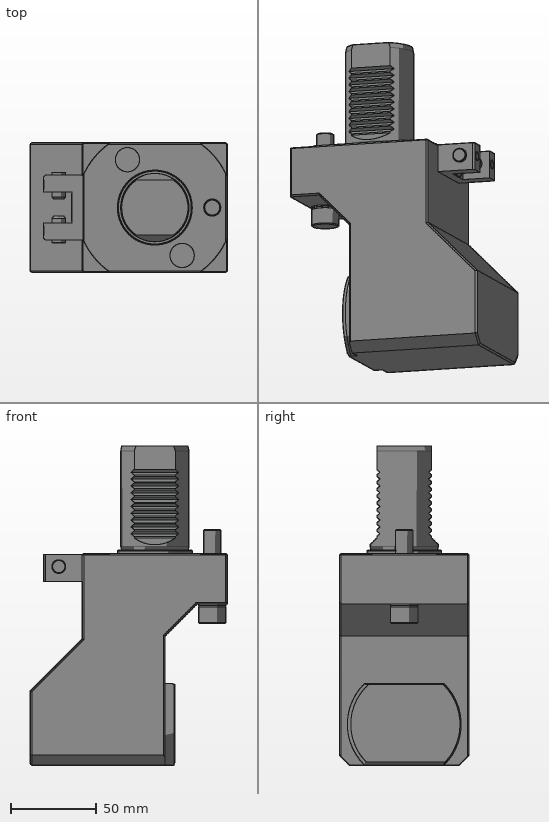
import cadquery as cq


BLOCK_HALF_WIDTH = 38.0
FLANGE_HALF_LENGTH = 42.5
FLANGE_THICKNESS = 29.6
FOOT_LEFT_X = -73.0
FOOT_RIGHT_X = 6.0
BLOCK_HEIGHT = 124.0
LEFT_SLOPE_TOP_Z = -50.0
RIGHT_SLOPE_RUN = 18.8
FOOT_CORNER_CHAMFER = 6.0
EDGE_CHAMFER = 1.0

SEAT_DIAMETER = 92.0
SEAT_STEP = 0.5
PLUG_DIAMETER = 14.2
PLUG_DEPTH = 0.2
PLUG_X = -16.0
PLUG_Y = 28.0

SHANK_DIAMETER = 40.0
SHANK_LENGTH = 63.0
SHANK_ROOT = 1.0
SHANK_TIP_DIAMETER = 38.8
SHANK_TIP_LENGTH = 3.0
COLLAR_DIAMETER = 43.86
COLLAR_HEIGHT = 2.0
COLLAR_CHAMFER = 0.6
NECK_DIAMETER = 39.0
NECK_TOP_Z = 4.0

FLAT_OFFSET = 16.0
TOOTH_COUNT = 10
TOOTH_PITCH = 4.0
TOOTH_DEPTH = 1.6
LOWEST_TOOTH_Z = 11.5
RUNOUT_TOP_Z = 9.1

SCREW_X = 33.6
SCREW_DIAMETER = 9.99
SCREW_TOP_Z = 14.0
SCREW_HEAD_DIAMETER = 15.98
SCREW_HEAD_BOTTOM_Z = -41.0
SCREW_CHAMFER = 0.6
SCREW_HEAD_GROOVE_TOP_Z = -30.4
SCREW_HEAD_GROOVE_WIDTH = 0.9
SCREW_HEAD_GROOVE_DEPTH = 0.2

BRACKET_REACH_X = -65.0
BRACKET_TOP_Z = -0.5
BRACKET_HEIGHT = 16.0
BRACKET_HALF_WIDTH = 19.0
FORK_SLOT_HALF_WIDTH = 9.0
FORK_SLOT_END_X = -48.4
FORK_BOSS_DIAMETER = 15.98
FORK_BOSS_HEIGHT = 0.4
FORK_TIP_CHAMFER = 1.0
SET_SCREW_X = -56.2
SET_SCREW_Z = -7.7
SET_SCREW_DIAMETER = 7.99
SET_SCREW_INNER_Y = 5.0
SET_SCREW_OUTER_Y = 20.6
SET_SCREW_INNER_CHAMFER_AXIAL = 1.3
SET_SCREW_INNER_END_DIAMETER = 5.99
SET_SCREW_OUTER_CHAMFER_AXIAL = 0.2
SET_SCREW_OUTER_END_DIAMETER = 7.19
LOCK_HOLE_DIAMETER = 5.18
LOCK_HOLE_DEPTH = 0.2
LOCK_HOLE_Y = 13.5

COVER_DIAMETER = 66.6
COVER_HEIGHT = 48.0
COVER_THICKNESS = 5.8
COVER_CHAMFER_RADIAL = 2.0
COVER_CHAMFER_AXIAL = 0.7


def make_block():
    left_slope_bottom_z = LEFT_SLOPE_TOP_Z + FOOT_LEFT_X + FLANGE_HALF_LENGTH
    block = (
        cq.Workplane("XZ")
        .moveTo(-FLANGE_HALF_LENGTH, 0)
        .lineTo(FLANGE_HALF_LENGTH, 0)
        .lineTo(FLANGE_HALF_LENGTH, -FLANGE_THICKNESS)
        .lineTo(FOOT_RIGHT_X + RIGHT_SLOPE_RUN, -FLANGE_THICKNESS)
        .lineTo(FOOT_RIGHT_X, -FLANGE_THICKNESS - RIGHT_SLOPE_RUN)
        .lineTo(FOOT_RIGHT_X, -BLOCK_HEIGHT)
        .lineTo(FOOT_LEFT_X, -BLOCK_HEIGHT)
        .lineTo(FOOT_LEFT_X, left_slope_bottom_z)
        .lineTo(-FLANGE_HALF_LENGTH, LEFT_SLOPE_TOP_Z)
        .close()
        .extrude(BLOCK_HALF_WIDTH, both=True)
    )
    block = block.faces("<Z").edges("|X").chamfer(FOOT_CORNER_CHAMFER)
    outer_edges = block.faces("<Y or >Y or <X or >Z").edges()
    return outer_edges.filter(lambda edge: not is_sharp_edge(edge)).chamfer(EDGE_CHAMFER)


def is_sharp_edge(edge):
    """True along the foot corner chamfers and across the bottom of the left slope."""
    center = edge.Center()
    along_x = edge.BoundingBox().xlen > 2 * FOOT_CORNER_CHAMFER
    along_y = edge.BoundingBox().ylen > BLOCK_HALF_WIDTH
    on_foot_corner = along_x and center.z < 2 * FOOT_CORNER_CHAMFER - BLOCK_HEIGHT
    at_slope_bottom = along_y and EDGE_CHAMFER - BLOCK_HEIGHT < center.z < LEFT_SLOPE_TOP_Z
    return on_foot_corner or at_slope_bottom


def lower_flange_corners(block):
    """Leave a round raised seat by lowering the flange face outside it."""
    seat_level = cq.Workplane("XY").workplane(offset=-SEAT_STEP)
    corners = (
        seat_level.rect(4 * BLOCK_HALF_WIDTH, 4 * BLOCK_HALF_WIDTH)
        .circle(SEAT_DIAMETER / 2)
        .extrude(2 * SEAT_STEP)
    )
    return block.cut(corners)


def make_plug_recesses():
    return (
        cq.Workplane("XY")
        .pushPoints([(PLUG_X, PLUG_Y), (-PLUG_X, -PLUG_Y)])
        .circle(PLUG_DIAMETER / 2)
        .extrude(-PLUG_DEPTH)
    )


def make_shank():
    collar_radius = COLLAR_DIAMETER / 2
    shank = (
        cq.Workplane("XZ")
        .moveTo(0, -SHANK_ROOT)
        .lineTo(collar_radius, -SHANK_ROOT)
        .lineTo(collar_radius, COLLAR_HEIGHT - COLLAR_CHAMFER)
        .lineTo(collar_radius - COLLAR_CHAMFER, COLLAR_HEIGHT)
        .lineTo(NECK_DIAMETER / 2, COLLAR_HEIGHT)
        .lineTo(SHANK_DIAMETER / 2, NECK_TOP_Z)
        .lineTo(SHANK_DIAMETER / 2, SHANK_LENGTH - SHANK_TIP_LENGTH)
        .lineTo(SHANK_TIP_DIAMETER / 2, SHANK_LENGTH)
        .lineTo(0, SHANK_LENGTH)
        .close()
        .revolve(360, (0, 0, 0), (0, 1, 0))
    )
    cutter = make_serration_cutter()
    return shank.cut(cutter).cut(cutter.mirror("XZ"))


def make_serration_cutter():
    """Material removed from the +Y flat: 45 degree run-out below, then V-shaped teeth."""
    outer = COLLAR_DIAMETER / 2
    run = outer - FLAT_OFFSET
    outline = cq.Workplane("YZ").moveTo(outer, RUNOUT_TOP_Z - run).lineTo(FLAT_OFFSET, RUNOUT_TOP_Z)
    for tooth in range(TOOTH_COUNT):
        root_z = LOWEST_TOOTH_Z + tooth * TOOTH_PITCH
        outline = (
            outline.lineTo(FLAT_OFFSET, root_z - TOOTH_DEPTH)
            .lineTo(FLAT_OFFSET - TOOTH_DEPTH, root_z)
            .lineTo(FLAT_OFFSET, root_z + TOOTH_DEPTH)
        )
    return (
        outline.lineTo(FLAT_OFFSET, SHANK_LENGTH)
        .lineTo(outer, SHANK_LENGTH)
        .close()
        .extrude(SHANK_DIAMETER / 2, both=True)
    )


def make_clamp_screw():
    base = cq.Workplane("XY", origin=(SCREW_X, 0, SCREW_HEAD_BOTTOM_Z))
    stem = (
        base.circle(SCREW_DIAMETER / 2)
        .extrude(SCREW_TOP_Z - SCREW_HEAD_BOTTOM_Z)
        .faces(">Z").chamfer(SCREW_CHAMFER)
    )
    head = (
        base.circle(SCREW_HEAD_DIAMETER / 2)
        .extrude(-FLANGE_THICKNESS - SCREW_HEAD_BOTTOM_Z)
        .faces("<Z").chamfer(SCREW_CHAMFER)
    )
    groove = (
        cq.Workplane("XY", origin=(SCREW_X, 0, SCREW_HEAD_GROOVE_TOP_Z))
        .circle(SCREW_HEAD_DIAMETER / 2)
        .circle(SCREW_HEAD_DIAMETER / 2 - SCREW_HEAD_GROOVE_DEPTH)
        .extrude(-SCREW_HEAD_GROOVE_WIDTH)
    )
    return head.cut(groove).union(stem)


def bracket_box(x_start, x_end, half_width):
    """Box over the full bracket height between two X positions, centered on Y."""
    return (
        cq.Workplane("XY", origin=((x_start + x_end) / 2, 0, BRACKET_TOP_Z))
        .rect(x_end - x_start, 2 * half_width)
        .extrude(-BRACKET_HEIGHT)
    )


def make_bracket():
    fork = bracket_box(BRACKET_REACH_X, -FLANGE_HALF_LENGTH + EDGE_CHAMFER, BRACKET_HALF_WIDTH)
    fork = fork.faces("<X").edges("|Z").chamfer(FORK_TIP_CHAMFER)
    slot = bracket_box(BRACKET_REACH_X, FORK_SLOT_END_X, FORK_SLOT_HALF_WIDTH)
    boss = (
        cq.Workplane("YZ", origin=(FORK_SLOT_END_X, 0, BRACKET_TOP_Z - BRACKET_HEIGHT / 2))
        .circle(FORK_BOSS_DIAMETER / 2)
        .extrude(-FORK_BOSS_HEIGHT)
    )
    lock_holes = (
        cq.Workplane("YZ", origin=(BRACKET_REACH_X, 0, SET_SCREW_Z))
        .pushPoints([(LOCK_HOLE_Y, 0), (-LOCK_HOLE_Y, 0)])
        .circle(LOCK_HOLE_DIAMETER / 2)
        .extrude(LOCK_HOLE_DEPTH)
    )
    set_screw = make_set_screw()
    return (
        fork.cut(slot)
        .union(boss)
        .cut(lock_holes)
        .union(set_screw)
        .union(set_screw.mirror("XZ"))
    )


def make_set_screw():
    """Set screw through the +Y arm, turned about an axis along Y."""
    radius = SET_SCREW_DIAMETER / 2
    return (
        cq.Workplane("XY", origin=(SET_SCREW_X, 0, SET_SCREW_Z))
        .moveTo(0, SET_SCREW_INNER_Y)
        .lineTo(SET_SCREW_INNER_END_DIAMETER / 2, SET_SCREW_INNER_Y)
        .lineTo(radius, SET_SCREW_INNER_Y + SET_SCREW_INNER_CHAMFER_AXIAL)
        .lineTo(radius, SET_SCREW_OUTER_Y - SET_SCREW_OUTER_CHAMFER_AXIAL)
        .lineTo(SET_SCREW_OUTER_END_DIAMETER / 2, SET_SCREW_OUTER_Y)
        .lineTo(0, SET_SCREW_OUTER_Y)
        .close()
        .revolve(360, (0, 0, 0), (0, 1, 0))
    )


def make_cover():
    """Disc cut off flat above and below, flush with the bottom of the foot."""
    base = cq.Workplane("YZ", origin=(FOOT_RIGHT_X, 0, COVER_HEIGHT / 2 - BLOCK_HEIGHT))
    disc = base.circle(COVER_DIAMETER / 2).extrude(COVER_THICKNESS)
    band = base.rect(COVER_DIAMETER, COVER_HEIGHT).extrude(COVER_THICKNESS)
    return disc.intersect(band).faces(">X").chamfer(COVER_CHAMFER_RADIAL, COVER_CHAMFER_AXIAL)


result = (
    lower_flange_corners(make_block())
    .cut(make_plug_recesses())
    .union(make_shank())
    .union(make_clamp_screw())
    .union(make_bracket())
    .union(make_cover())
)